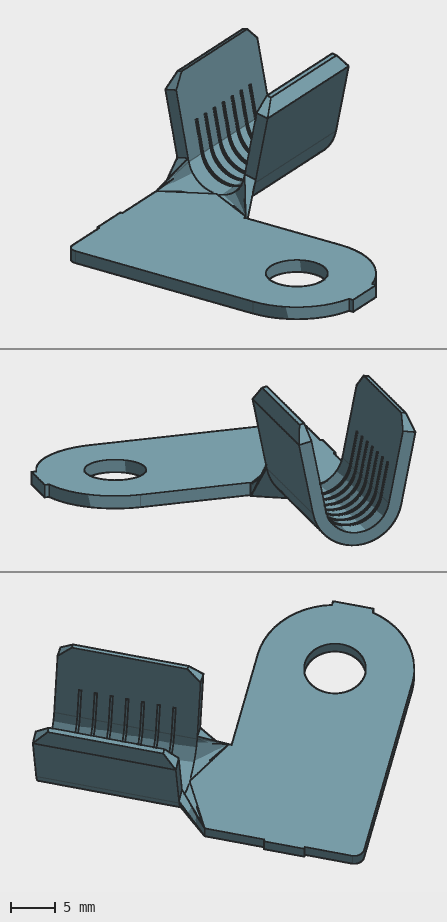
import cadquery as cq
import math

THICKNESS = 1.5

PALM_HALF = 8.9
PALM_CORNER_RADIUS = 1.15
STUD_X = 19.0
STUD_HOLE_RADIUS = 3.47
LEFT_TAB_X = -6.3
RIGHT_TAB_X = 28.15
TAB_WIDTH = 4.68

NECK_HALF = 6.05
NECK_STEP = 0.3
NECK_FOOT_Y = PALM_HALF + NECK_STEP
NECK_ARM_RISE = 0.38

OVERALL_LENGTH = 37.72
OVERALL_HEIGHT = 14.6
BARREL_LENGTH = 16.5
BARREL_BACK_Y = OVERALL_LENGTH - PALM_HALF
BARREL_FRONT_Y = BARREL_BACK_Y - BARREL_LENGTH
TROUGH_INNER_RADIUS = 3.8
TROUGH_OVERLAP = 0.38
TROUGH_OUTER_RADIUS = TROUGH_INNER_RADIUS + THICKNESS
ARM_LEAN = math.radians(11.3)
ARM_TIP_WIDTH = 0.55
ARM_BEVEL_LENGTH = 1.65
ARM_CORNER_CUT = 1.6

GROOVE_COUNT = 7
GROOVE_PITCH = 1.8
GROOVE_WIDTH = 0.3
GROOVE_DEPTH = 0.1
GROOVE_ARM_RISE = 3.95

ARM_NORMAL = (math.cos(ARM_LEAN), 0, -math.sin(ARM_LEAN))


def arm_point(radius, rise):
    """X and Z of the point `rise` up the line tangent to the trough circle of this radius."""
    x = radius * math.cos(ARM_LEAN) + rise * math.sin(ARM_LEAN)
    z = TROUGH_OUTER_RADIUS - radius * math.sin(ARM_LEAN) + rise * math.cos(ARM_LEAN)
    return x, z


INNER_TANGENT_X, INNER_TANGENT_Z = arm_point(TROUGH_INNER_RADIUS, 0)
ARM_LENGTH = (OVERALL_HEIGHT - INNER_TANGENT_Z) / math.cos(ARM_LEAN)
ARM_BEVEL_START = ARM_LENGTH - ARM_BEVEL_LENGTH


def mirrored_pair(solid):
    """The solid joined with its mirror image across X = 0."""
    return solid.union(solid.mirror("YZ"))


def box_between(x0, x1, y0, y1):
    """Flat piece of the sheet between two X and two Y positions."""
    return cq.Workplane("XY").box(x1 - x0, y1 - y0, THICKNESS, centered=False).translate((x0, y0, 0))


def make_palm():
    """Flat palm, including the strip at the foot of the neck."""
    palm = box_between(-NECK_HALF, STUD_X, -PALM_HALF, PALM_HALF)
    palm = palm.edges("|Z and <X and <Y").fillet(PALM_CORNER_RADIUS)
    round_end = cq.Workplane("XY").center(STUD_X, 0).circle(PALM_HALF).extrude(THICKNESS)
    tabs = box_between(LEFT_TAB_X, RIGHT_TAB_X, -TAB_WIDTH / 2, TAB_WIDTH / 2)
    neck_strip = box_between(-NECK_HALF, NECK_HALF, 0, NECK_FOOT_Y)
    stud_hole = cq.Workplane("XY").center(STUD_X, 0).circle(STUD_HOLE_RADIUS).extrude(THICKNESS)
    return palm.union(round_end).union(tabs).union(neck_strip).cut(stud_hole)


def channel_band(inner_radius, outer_radius, rise, y_front, length):
    """U-shaped band between two trough radii, its sides reaching `rise` up the arms."""
    inner_foot_x, inner_foot_z = arm_point(inner_radius, 0)
    inner_top_x, inner_top_z = arm_point(inner_radius, rise)
    outer_foot_x, outer_foot_z = arm_point(outer_radius, 0)
    outer_top_x, outer_top_z = arm_point(outer_radius, rise)
    return (
        cq.Workplane("XZ", origin=(0, y_front, 0))
        .moveTo(-inner_top_x, inner_top_z)
        .lineTo(-inner_foot_x, inner_foot_z)
        .threePointArc((0, TROUGH_OUTER_RADIUS - inner_radius), (inner_foot_x, inner_foot_z))
        .lineTo(inner_top_x, inner_top_z)
        .lineTo(outer_top_x, outer_top_z)
        .lineTo(outer_foot_x, outer_foot_z)
        .threePointArc((0, TROUGH_OUTER_RADIUS - outer_radius), (-outer_foot_x, outer_foot_z))
        .lineTo(-outer_top_x, outer_top_z)
        .close()
        .extrude(-length)
    )


def make_arm():
    """Arm at +X: bevelled outside along its tip, with both tip corners cut off."""
    origin = (INNER_TANGENT_X, BARREL_FRONT_Y, INNER_TANGENT_Z)
    section = (
        cq.Workplane(cq.Plane(origin=origin, xDir=ARM_NORMAL, normal=(0, -1, 0)))
        .polyline([
            (0, 0),
            (THICKNESS, 0),
            (THICKNESS, ARM_BEVEL_START),
            (ARM_TIP_WIDTH, ARM_LENGTH),
            (0, ARM_LENGTH),
        ])
        .close()
        .extrude(-BARREL_LENGTH)
    )
    outline = (
        cq.Workplane(cq.Plane(origin=origin, xDir=(0, 1, 0), normal=ARM_NORMAL))
        .polyline([
            (0, 0),
            (0, ARM_BEVEL_START),
            (ARM_CORNER_CUT, ARM_LENGTH),
            (BARREL_LENGTH - ARM_CORNER_CUT, ARM_LENGTH),
            (BARREL_LENGTH, ARM_BEVEL_START),
            (BARREL_LENGTH, 0),
        ])
        .close()
        .extrude(THICKNESS)
    )
    return section.intersect(outline)


def flat_face(*corners):
    """Flat polygon through the given corners."""
    return cq.Face.makeFromWires(cq.Wire.makePolygon(corners, close=True))


class NeckSide:
    """Points and faces on one side of the neck sheet at +X, given the trough radius it meets."""

    def __init__(self, radius):
        z = TROUGH_OUTER_RADIUS - radius
        self.foot_centre = cq.Vector(0, NECK_FOOT_Y, z)
        self.foot_corner = cq.Vector(NECK_HALF, NECK_FOOT_Y, z)
        self.trough_bottom = cq.Vector(0, BARREL_FRONT_Y, z)
        self.arm_foot = self.barrel_point(radius, 0)
        self.arm_top = self.barrel_point(radius, NECK_ARM_RISE)
        self.arc = cq.Edge.makeTangentArc(self.trough_bottom, cq.Vector(1, 0, 0), self.arm_foot)

    @staticmethod
    def barrel_point(radius, rise):
        x, z = arm_point(radius, rise)
        return cq.Vector(x, BARREL_FRONT_Y, z)

    def faces(self):
        """Flat triangle at the centre, cone from the foot corner to the arc, triangle by the arm."""
        apex = cq.Vertex.makeVertex(*self.foot_corner.toTuple())
        return [
            flat_face(self.foot_centre, self.foot_corner, self.trough_bottom),
            cq.occ_impl.shapes.loft(apex, self.arc),
            flat_face(self.foot_corner, self.arm_foot, self.arm_top),
        ]


def make_neck_half():
    """The +X half of the sheet that changes from flat at the palm to the U of the barrel."""
    upper = NeckSide(TROUGH_INNER_RADIUS)
    lower = NeckSide(TROUGH_OUTER_RADIUS)
    arm_end = cq.Edge.makeLine(upper.arm_top, lower.arm_top)
    foot_end = cq.Edge.makeLine(upper.foot_corner, lower.foot_corner)
    barrel_outline = cq.Wire.assembleEdges([
        upper.arc,
        cq.Edge.makeLine(upper.arm_foot, upper.arm_top),
        arm_end,
        cq.Edge.makeLine(lower.arm_top, lower.arm_foot),
        lower.arc,
        cq.Edge.makeLine(lower.trough_bottom, upper.trough_bottom),
    ])
    faces = upper.faces() + lower.faces() + [
        cq.Face.makeFromWires(barrel_outline),
        cq.Face.makeRuledSurface(arm_end, foot_end),
        flat_face(upper.foot_centre, upper.foot_corner, lower.foot_corner, lower.foot_centre),
        flat_face(upper.foot_centre, upper.trough_bottom, lower.trough_bottom, lower.foot_centre),
    ]
    return cq.Workplane(cq.Solid.makeSolid(cq.Shell.makeShell(faces)).fix())


def make_barrel():
    """Trough and arms, grooved evenly about the middle of the barrel."""
    trough = channel_band(
        TROUGH_INNER_RADIUS, TROUGH_OUTER_RADIUS, TROUGH_OVERLAP, BARREL_FRONT_Y, BARREL_LENGTH
    )
    barrel = mirrored_pair(make_arm()).union(trough)
    first_groove_y = BARREL_FRONT_Y + (BARREL_LENGTH - (GROOVE_COUNT - 1) * GROOVE_PITCH - GROOVE_WIDTH) / 2
    groove_radius = TROUGH_INNER_RADIUS + GROOVE_DEPTH
    for i in range(GROOVE_COUNT):
        groove_y = first_groove_y + i * GROOVE_PITCH
        barrel = barrel.cut(
            channel_band(TROUGH_INNER_RADIUS, groove_radius, GROOVE_ARM_RISE, groove_y, GROOVE_WIDTH)
        )
    return barrel


lug = make_barrel().union(make_palm()).union(mirrored_pair(make_neck_half()))
result = cq.Workplane(lug.solids().val())